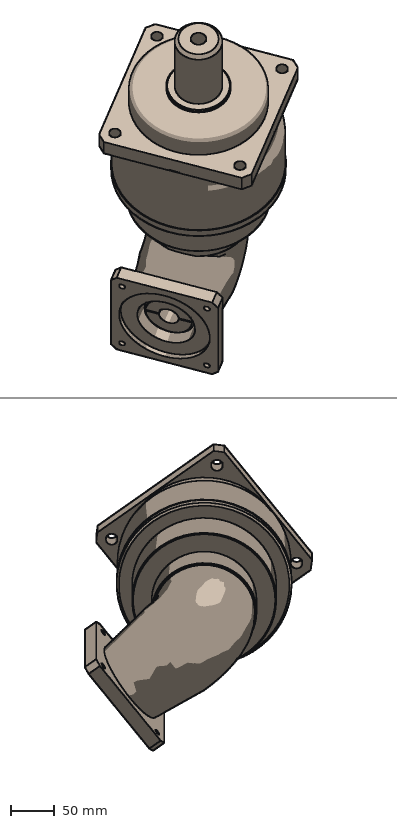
import cadquery as cq
import math


shaft_top_z = 443.0
pilot_top_z = 355.0
plate_top_z = 330.5
plate_bottom_z = 310.0
shoulder_mid_z = 288.0
rim_top_z = 218.5
rim_bottom_z = 205.5
stage_bottom_z = 158.2
neck_bottom_z = 122.0
bend_axis_z = 113.0

shaft_radius = 27.5
shaft_chamfer = 4.5
center_hole_radius = 9.0
center_hole_depth = 40.0
drill_tip_angle = 118.0
keyway_width = 16.0
keyway_depth = 6.0
keyway_length = 70.0
keyway_top_gap = 9.0
seal_radius = 37.2
seal_height = 3.5
seal_chamfer = 1.5

pilot_radius = 80.0
pilot_fillet = 4.5
plate_side = 185.0
plate_chamfer = 9.0
plate_hole_spacing = 151.5
plate_hole_diameter = 13.5

collar_radius = 91.5
casing_radius = 99.5
shoulder_angle = 30.0
shoulder_fillet = 20.0
rim_radius = 100.5
rim_chamfer = 2.5
stage_radius = 83.0
stage_chamfer = 1.5
neck_radius = 60.3
neck_chamfer = 1.0

bend_tube_radius = 58.0
bend_axis_y = -42.0
port_end_radius = 49.5

port_side = 130.0
port_z = port_side / 2
port_thickness = 16.5
port_face_y = -122.8
port_back_y = port_face_y + port_thickness
port_chamfer = 7.0
port_hole_spacing = 103.0
port_hole_diameter = 7.0
recess_radius = 55.0
recess_depth = 6.0
bore_radius = 35.0
bore_depth = 35.5

hub_radius = 30.0
hub_chamfer = 2.0
hub_face_depth = 15.5
hub_bore_radius = 12.0
hub_bore_depth = 42.0
hub_slit_width = 1.8


def disc(radius, bottom_z, top_z):
    return cq.Workplane("XY", origin=(0, 0, bottom_z)).circle(radius).extrude(top_z - bottom_z)


def port_disc(radius, start_depth, end_depth):
    """Cylinder along +Y on the port axis, between two depths behind the port face."""
    plane = cq.Workplane("XZ", origin=(0, port_face_y + start_depth, port_z))
    return plane.circle(radius).extrude(start_depth - end_depth)


def make_shaft():
    shaft = disc(shaft_radius, plate_top_z, shaft_top_z).faces(">Z").chamfer(shaft_chamfer)
    tip_height = center_hole_radius / math.tan(math.radians(drill_tip_angle / 2))
    hole_bottom_z = shaft_top_z - center_hole_depth
    center_hole = (
        cq.Workplane("XZ")
        .moveTo(0, shaft_top_z)
        .lineTo(center_hole_radius, shaft_top_z)
        .lineTo(center_hole_radius, hole_bottom_z)
        .lineTo(0, hole_bottom_z - tip_height)
        .close()
        .revolve(360, (0, 0), (0, 1))
    )
    keyway_mid_z = shaft_top_z - keyway_top_gap - keyway_length / 2
    keyway = (
        cq.Workplane("XZ", origin=(0, shaft_radius, keyway_mid_z))
        .slot2D(keyway_length, keyway_width, 90)
        .extrude(keyway_depth)
    )
    return shaft.cut(center_hole).cut(keyway)


def make_output_flange():
    plate = (
        cq.Workplane("XY", origin=(0, 0, plate_bottom_z))
        .rect(plate_side, plate_side)
        .extrude(plate_top_z - plate_bottom_z)
        .edges("|Z")
        .chamfer(plate_chamfer)
        .faces(">Z")
        .workplane()
        .rect(plate_hole_spacing, plate_hole_spacing, forConstruction=True)
        .vertices()
        .hole(plate_hole_diameter)
    )
    pilot = disc(pilot_radius, plate_top_z, pilot_top_z).faces(">Z").edges().fillet(pilot_fillet)
    seal = disc(seal_radius, pilot_top_z, pilot_top_z + seal_height)
    seal = seal.faces(">Z").chamfer(seal_chamfer)
    return plate.union(pilot).union(seal)


def make_casing():
    half_shoulder = (casing_radius - collar_radius) / math.tan(math.radians(shoulder_angle)) / 2
    casing = (
        cq.Workplane("XZ")
        .moveTo(0, plate_bottom_z)
        .lineTo(collar_radius, plate_bottom_z)
        .lineTo(collar_radius, shoulder_mid_z + half_shoulder)
        .lineTo(casing_radius, shoulder_mid_z - half_shoulder)
        .lineTo(casing_radius, rim_top_z)
        .lineTo(0, rim_top_z)
        .close()
        .revolve(360, (0, 0), (0, 1))
        .faces("%CONE")
        .edges("%CIRCLE")
        .fillet(shoulder_fillet)
    )
    rim = disc(rim_radius, rim_bottom_z, rim_top_z).faces("<Z").chamfer(rim_chamfer)
    stage = disc(stage_radius, stage_bottom_z, rim_bottom_z).faces("<Z").chamfer(stage_chamfer)
    neck = disc(neck_radius, neck_bottom_z, stage_bottom_z).faces("<Z").chamfer(neck_chamfer)
    return casing.union(rim).union(stage).union(neck)


def make_elbow():
    inlet = disc(bend_tube_radius, bend_axis_z, neck_bottom_z)

    half_chord = math.sqrt(bend_tube_radius**2 - bend_axis_y**2)
    bend = (
        cq.Workplane("XY", origin=(0, 0, bend_axis_z))
        .moveTo(-half_chord, bend_axis_y)
        .threePointArc((0, bend_tube_radius), (half_chord, bend_axis_y))
        .close()
        .revolve(90, (4.5, bend_axis_y), (0, bend_axis_y))
    )

    bend_end_z = bend_axis_z + bend_axis_y
    outlet = (
        cq.Workplane("XZ", origin=(0, bend_axis_y, bend_end_z))
        .circle(bend_tube_radius)
        .workplane(offset=bend_axis_y - port_back_y)
        .center(0, port_z - bend_end_z)
        .circle(port_end_radius)
        .loft(ruled=True)
    )
    return inlet.union(bend).union(outlet)


def make_motor_flange():
    return (
        cq.Workplane("XZ", origin=(0, port_back_y, port_z))
        .rect(port_side, port_side)
        .extrude(port_thickness)
        .edges("|Y")
        .chamfer(port_chamfer)
        .faces("<Y")
        .workplane()
        .rect(port_hole_spacing, port_hole_spacing, forConstruction=True)
        .vertices()
        .hole(port_hole_diameter)
    )


def make_port_cavity():
    recess = port_disc(recess_radius, 0, recess_depth)
    bore = port_disc(bore_radius, 0, bore_depth)
    return recess.union(bore)


def make_hub():
    hub = port_disc(hub_radius, hub_face_depth, bore_depth).faces("<Y").chamfer(hub_chamfer)
    slit = (
        cq.Workplane("XZ", origin=(0, port_face_y + hub_face_depth, port_z))
        .rect(2 * hub_radius, hub_slit_width)
        .extrude(hub_face_depth - bore_depth)
    )
    return hub.cut(slit)


body = make_casing().union(make_output_flange()).union(make_shaft())
body = body.union(make_elbow()).union(make_motor_flange())
body = body.cut(make_port_cavity()).union(make_hub())
hub_bore = port_disc(hub_bore_radius, hub_face_depth, hub_face_depth + hub_bore_depth)
result = body.cut(hub_bore)